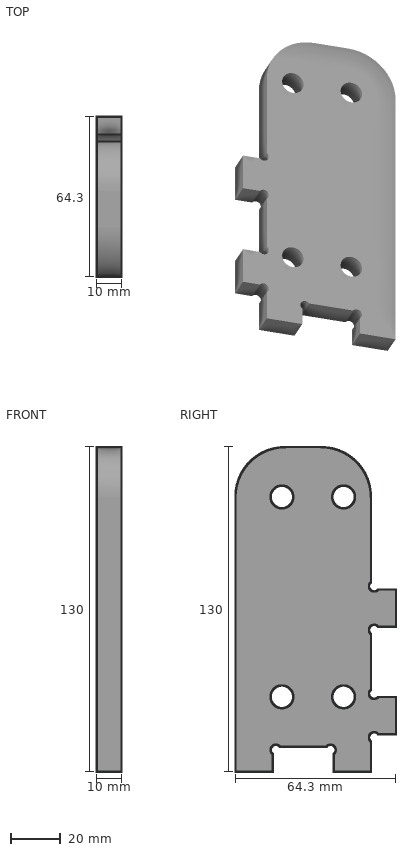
import cadquery as cq

thickness = 10.0
height = 130.0
tab_length = 10.0
tab_width = 15.0
overall_width = 64.33
body_width = overall_width - tab_length
corner_radius = 20.0

first_tab_bottom = tab_width
tab_pitch = 43.0
tab_bottoms = [first_tab_bottom, first_tab_bottom + tab_pitch]

slot_width = body_width - 2 * tab_width
slot_depth = tab_length

relief_radius = 2.05
relief_offset = 1.25

hole_diameter = 9.0
hole_spacing_y = 24.67
hole_spacing_z = 80.0
first_hole_y = 18.67
first_hole_z = 30.0


def block(y_start, z_start, width, tall):
    """Full-thickness block with its low corner at (y_start, z_start)."""
    return cq.Workplane("XY").box(thickness, width, tall, centered=False).translate((0, y_start, z_start))


def through_cylinders(points, radius):
    """Cylinders along X through the whole thickness at the given (y, z) points."""
    return cq.Workplane("YZ").pushPoints(points).circle(radius).extrude(thickness)


def make_body():
    """Plate with rounded top corners."""
    return block(0, 0, body_width, height).edges("|X and >Z").fillet(corner_radius)


def add_side_tabs(part):
    """Tabs on the +Y edge, with a relief above and below each root."""
    relief_y = body_width + relief_offset
    reliefs = []
    for bottom in tab_bottoms:
        part = part.union(block(body_width, bottom, tab_length, tab_width))
        reliefs.append((relief_y, bottom - relief_offset))
        reliefs.append((relief_y, bottom + tab_width + relief_offset))
    return part.cut(through_cylinders(reliefs, relief_radius))


def cut_bottom_slot(part):
    """Slot between the feet, with a relief in both upper corners."""
    slot_start = tab_width
    slot_end = slot_start + slot_width
    relief_z = slot_depth - relief_offset
    reliefs = [(slot_start + relief_offset, relief_z), (slot_end - relief_offset, relief_z)]
    part = part.cut(block(slot_start, 0, slot_width, slot_depth))
    return part.cut(through_cylinders(reliefs, relief_radius))


def cut_bolt_holes(part):
    """Two by two pattern of through holes."""
    holes = [
        (first_hole_y + column * hole_spacing_y, first_hole_z + row * hole_spacing_z)
        for column in range(2)
        for row in range(2)
    ]
    return part.cut(through_cylinders(holes, hole_diameter / 2))


result = cut_bolt_holes(cut_bottom_slot(add_side_tabs(make_body())))